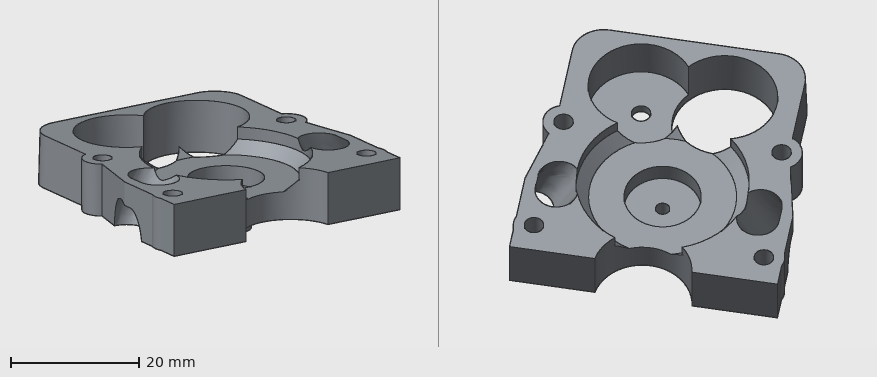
import cadquery as cq
import math

length = 45.0
thickness = 8.5
left_half_width = 18.68
left_draft = 0.25
right_half_width = 21.2
corner_radius = 5.0
shoulder_x = 31.25
flare_start_x = 21.8
flare_start_y = 19.1

screw_diameter = 3.0
ear_radius = 3.25
ear_centers = [(19.15, 17.25), (40.15, 18.2)]

pit_x = 28.0
pit_radius = 13.5
pit_floor_radius = 11.5
pit_wall_depth = 2.0
pit_depth = pit_wall_depth + pit_radius - pit_floor_radius
recess_diameter = 12.0
recess_depth = 7.0
shaft_hole_diameter = 2.2

boss_diameter = 8.0
boss_height = 3.5
boss_flare = 0.25

bore_diameter = 16.5
bore_x = 10.0
bore_y = 6.6
blind_bore_depth = recess_depth

bite_radius = 7.75
bite_depth = 6.7

slot_length = 9.1
slot_width = 6.65
slot_x = 31.5
slot_top_y = 15.95
slot_shift = 4.28


def cylinder(x, y, top, radius, depth):
    """Vertical cylinder reaching down from the given top height."""
    return cq.Workplane("XY", origin=(x, y, top)).circle(radius).extrude(-depth)


def left_block_outline(half_width, height):
    """Closed outline of the left block, rounded at its two left corners."""
    straight_end = half_width - corner_radius
    diagonal = corner_radius * (1 - math.sqrt(0.5))
    return (
        cq.Workplane("XY", origin=(0, 0, height))
        .moveTo(flare_start_x, -half_width)
        .lineTo(flare_start_x, half_width)
        .lineTo(corner_radius, half_width)
        .threePointArc((diagonal, half_width - diagonal), (0, straight_end))
        .lineTo(0, -straight_end)
        .threePointArc((diagonal, diagonal - half_width), (corner_radius, -half_width))
        .close()
    )


def left_block():
    bottom = left_block_outline(left_half_width, -thickness)
    top = left_block_outline(left_half_width - left_draft, 0)
    return cq.Workplane(cq.Solid.makeLoft([bottom.val(), top.val()], True))


def plate():
    upper = [
        (flare_start_x, flare_start_y),
        (shoulder_x, right_half_width),
        (length, right_half_width),
    ]
    lower = [(x, -y) for x, y in reversed(upper)]
    right = cq.Workplane("XY").polyline(upper + lower).close().extrude(-thickness)
    body = left_block().union(right)
    for x, y in ear_centers:
        for side in (1, -1):
            body = body.union(cylinder(x, side * y, 0, ear_radius, thickness))
    return body


def boss_root():
    """Small cone that widens the boss where it meets the plate."""
    return (
        cq.Workplane("XY", origin=(pit_x, 0, -thickness))
        .circle(boss_diameter / 2 + boss_flare)
        .extrude(-boss_flare, taper=45)
    )


def pit():
    return (
        cq.Workplane("XZ", origin=(pit_x, 0, 0))
        .polyline([
            (0, 0),
            (pit_radius, 0),
            (pit_radius, -pit_wall_depth),
            (pit_floor_radius, -pit_depth),
            (0, -pit_depth),
        ])
        .close()
        .revolve(360, (0, 0, 0), (0, 1, 0))
    )


def slanted_slot(side):
    """Obround slot that drifts outward toward the bottom face."""
    return (
        cq.Workplane("XY", origin=(slot_x, side * slot_top_y, 0))
        .slot2D(slot_length, slot_width)
        .workplane(offset=-thickness)
        .center(0, side * slot_shift)
        .slot2D(slot_length, slot_width)
        .loft(ruled=True)
    )


result = plate()
result = result.union(cylinder(pit_x, 0, -thickness, boss_diameter / 2, boss_height))
result = result.union(boss_root())

result = result.cut(pit())
result = result.cut(cylinder(pit_x, 0, 0, recess_diameter / 2, recess_depth))
result = result.cut(cylinder(pit_x, 0, 0, shaft_hole_diameter / 2, thickness + boss_height))

result = result.cut(cylinder(bore_x, bore_y, 0, bore_diameter / 2, thickness))
result = result.cut(cylinder(bore_x, -bore_y, 0, bore_diameter / 2, blind_bore_depth))
result = result.cut(cylinder(bore_x, -bore_y, 0, screw_diameter / 2, thickness))

bite_x = length - bite_depth + bite_radius
result = result.cut(cylinder(bite_x, 0, 0, bite_radius, thickness))

for side in (1, -1):
    result = result.cut(slanted_slot(side))
    for x, y in ear_centers:
        result = result.cut(cylinder(x, side * y, 0, screw_diameter / 2, thickness))